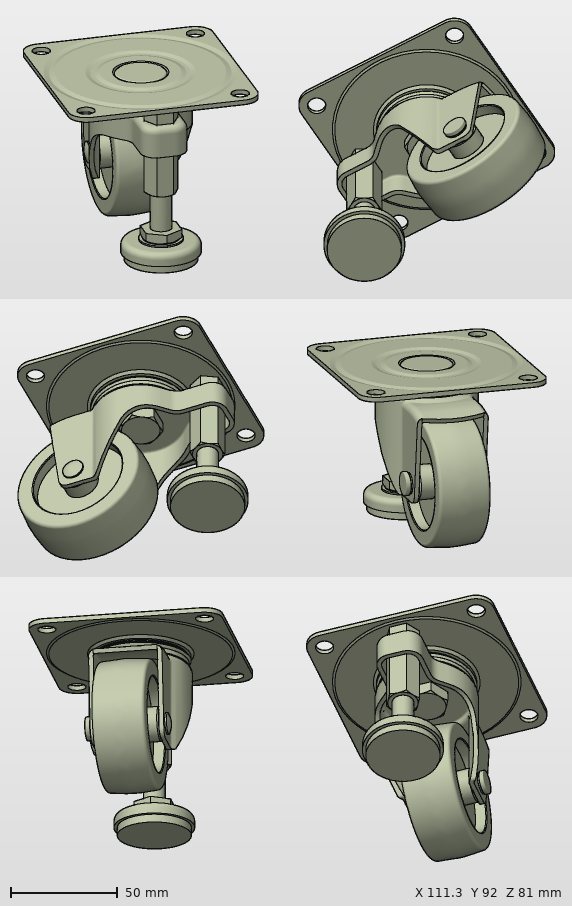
import cadquery as cq
import math


TOTAL_HEIGHT = 81.0
WHEEL_RADIUS = 31.6
WHEEL_X = -26.8
FOOT_X = 34.0

HEXAGON_HALF_ANGLE = math.radians(30)
NUT_CHAMFER_ANGLE = math.radians(30)
CORNERS_ON_X = 0
CORNERS_ON_Y = 30

PLATE_SIDE = 92.0
PLATE_THICKNESS = 2.3
PLATE_CORNER_RADIUS = 8.7
BOLT_PITCH = 75.0
BOLT_HOLE_DIAMETER = 8.5
GROOVE_DEPTH = 0.7
OUTER_GROOVE_RADII = (45.3, 42.9, 42.5, 40.1)
INNER_GROOVE_RADII = (25.8, 23.5, 21.5, 19.2)
PRESSED_DISC_RADIUS = 44.1
PRESSED_DISC_BOTTOM = 78.1
PLATE_HUB_RADIUS = 24.9
PLATE_HUB_BOTTOM = 76.7
PLATE_NECK_RADIUS = 22.0
PLATE_NECK_BOTTOM = 76.2

KINGPIN_RADIUS = 12.4
KINGPIN_EDGE = 0.8
KINGPIN_SHANK_RADIUS = 6.0
KINGPIN_NUT_FLATS = 18.0
KINGPIN_NUT_BOTTOM = 62.6

FORK_TOP = 71.0
FORK_WALL = 2.2
FORK_RADIUS = 24.2
FORK_EDGE_RADIUS = 3.3
FORK_BOTTOM = 22.9
ARM_BOTTOM = 56.2
ARM_HALF_WIDTH = 11.1
ARM_END_X = 45.3
ARM_CORNER_RADIUS = 7.5
ARM_BLEND_RADIUS = 6.8
ARM_BLEND_END_X = 25.8
LEG_OUTER_Y = 17.5
LEG_BEND_RADIUS = 2.5
LEG_FRONT_TOP_X = -39.6
LEG_FRONT_BOTTOM_X = -33.7
LEG_TOE_RADIUS = 4.5
LEG_BACK_X = -14.7
LEG_HEEL_RADIUS = 1.7
LEG_BACK_ANGLE = math.radians(60)
LEG_BACK_RADIUS = 16.3
CROWN_TOP = FORK_TOP - FORK_WALL
LIP_REACH_X = -41.9
LIP_REACH_Z = 66.3
LEG_BOX_REACH_X = LIP_REACH_X - FORK_WALL
LIP_TILT = 22
COLLAR_RADIUS = 22.7
COLLAR_TOP = 73.3
RACE_LIP_RADIUS = 23.6
RACE_LIP_HEIGHT = 74.7
RACE_TOP = 75.8

WHEEL_WIDTH = 25.0
WHEEL_HALF_WIDTH = WHEEL_WIDTH / 2
TREAD_HALF_WIDTH = 10.9
TREAD_EDGE_RADIUS = 30.8
RIM_FACE_RADIUS = 28.7
SHOULDER_BULGE = 0.5
RECESS_RADIUS = 23.0
RECESS_CHAMFER = 0.5
RECESS_DEPTH = 5.6
HUB_RADIUS = 8.2
HUB_HALF_WIDTH = 14.9
HUB_CHAMFER = 0.7

AXLE_RADIUS = 5.1
AXLE_COLLAR_Y = 18.3
AXLE_DOME_HEIGHT = 1.3
AXLE_HEAD_RADIUS = 5.7
AXLE_HEAD_END_Y = 20.6
AXLE_HEAD_FILLET = 0.3

SLEEVE_FLATS = 14.3
SLEEVE_BOTTOM = 34.3
STUD_RADIUS = 5.1
FOOT_NUT_FLATS = 17.5
FOOT_NUT_TOP = 15.8
FOOT_NUT_BOTTOM = 11.1
WASHER_RADIUS = 10.5
WASHER_TOP = 10.8
CAP_RADIUS = 18.9
CAP_TOP = 10.0
CAP_BOTTOM = 3.9
CAP_FILLET = 3.0
PAD_RADIUS = 17.4


def revolved(points):
    """Solid of revolution about Z from (radius, height) points."""
    return cq.Workplane("XZ").polyline(points).close().revolve(360, (0, 0, 0), (0, 1, 0))


def cylinder(radius, bottom, top):
    return cq.Workplane("XY").workplane(offset=bottom).circle(radius).extrude(top - bottom)


def hexagon(flats, bottom, top, turn):
    """Hexagonal bar, turned by `turn` degrees from having corners on the X direction."""
    corners = flats / math.cos(HEXAGON_HALF_ANGLE)
    bar = cq.Workplane("XY").workplane(offset=bottom).polygon(6, corners).extrude(top - bottom)
    return bar.rotate((0, 0, 0), (0, 0, 1), turn)


def hexagon_chamfered_below(flats, bottom, top, turn):
    """Hexagonal nut whose lower corners are turned off by a cone."""
    flat_radius = flats / 2
    corner_radius = flat_radius / math.cos(HEXAGON_HALF_ANGLE)
    rise = (corner_radius - flat_radius) * math.tan(NUT_CHAMFER_ANGLE)
    cone = revolved([
        (0, bottom),
        (flat_radius, bottom),
        (corner_radius, bottom + rise),
        (corner_radius, top),
        (0, top),
    ])
    return hexagon(flats, bottom, top, turn).intersect(cone)


def ring_groove(radii):
    outer, floor_outer, floor_inner, inner = radii
    floor = TOTAL_HEIGHT - GROOVE_DEPTH
    return revolved([
        (outer, TOTAL_HEIGHT),
        (floor_outer, floor),
        (floor_inner, floor),
        (inner, TOTAL_HEIGHT),
    ])


def make_plate():
    sheet_bottom = TOTAL_HEIGHT - PLATE_THICKNESS
    plate = (
        cq.Workplane("XY").workplane(offset=sheet_bottom)
        .rect(PLATE_SIDE, PLATE_SIDE).extrude(PLATE_THICKNESS)
        .edges("|Z").fillet(PLATE_CORNER_RADIUS)
    )
    pressed_drop = sheet_bottom - PRESSED_DISC_BOTTOM
    hub_drop = PRESSED_DISC_BOTTOM - PLATE_HUB_BOTTOM
    pressing = revolved([
        (0, sheet_bottom),
        (PRESSED_DISC_RADIUS, sheet_bottom),
        (PRESSED_DISC_RADIUS - 2 * pressed_drop, PRESSED_DISC_BOTTOM),
        (PLATE_HUB_RADIUS, PRESSED_DISC_BOTTOM),
        (PLATE_HUB_RADIUS - hub_drop, PLATE_HUB_BOTTOM),
        (PLATE_NECK_RADIUS, PLATE_HUB_BOTTOM),
        (PLATE_NECK_RADIUS, PLATE_NECK_BOTTOM),
        (0, PLATE_NECK_BOTTOM),
    ])
    plate = plate.union(pressing)
    for radii in (OUTER_GROOVE_RADII, INNER_GROOVE_RADII):
        plate = plate.cut(ring_groove(radii))
    bolt_holes = (
        cq.Workplane("XY").workplane(offset=sheet_bottom)
        .rect(BOLT_PITCH, BOLT_PITCH, forConstruction=True).vertices()
        .circle(BOLT_HOLE_DIAMETER / 2).extrude(PLATE_THICKNESS)
    )
    kingpin_seat = revolved([
        (0, PLATE_NECK_BOTTOM),
        (KINGPIN_RADIUS, PLATE_NECK_BOTTOM),
        (KINGPIN_RADIUS, TOTAL_HEIGHT - KINGPIN_EDGE),
        (KINGPIN_RADIUS + KINGPIN_EDGE, TOTAL_HEIGHT),
        (0, TOTAL_HEIGHT),
    ])
    return plate.cut(bolt_holes).cut(kingpin_seat)


def make_kingpin():
    head = cylinder(KINGPIN_RADIUS, RACE_TOP, TOTAL_HEIGHT).faces(">Z").edges().fillet(KINGPIN_EDGE)
    roof_underside = FORK_TOP - FORK_WALL
    shank = cylinder(KINGPIN_SHANK_RADIUS, KINGPIN_NUT_BOTTOM, RACE_TOP)
    nut = hexagon_chamfered_below(KINGPIN_NUT_FLATS, KINGPIN_NUT_BOTTOM, roof_underside, CORNERS_ON_Y)
    return head.union(shank).union(nut)


def swivel_block(inset, top):
    """Disc around the swivel axis flowing into the arm, `inset` inside the outer outline."""
    radius = FORK_RADIUS - inset
    half_width = ARM_HALF_WIDTH - inset
    blend = ARM_BLEND_RADIUS + inset
    blend_y = ARM_HALF_WIDTH + ARM_BLEND_RADIUS
    centre_distance = math.hypot(ARM_BLEND_END_X, blend_y)
    normal = math.atan2(blend_y, ARM_BLEND_END_X) + math.acos(
        (FORK_RADIUS + ARM_BLEND_RADIUS) / centre_distance
    )
    touch = (radius * math.cos(normal), radius * math.sin(normal))
    blend_start = (
        ARM_BLEND_END_X - blend * math.cos(normal),
        blend_y - blend * math.sin(normal),
    )
    middle = (normal + math.pi / 2) / 2
    blend_middle = (
        ARM_BLEND_END_X - blend * math.cos(middle),
        blend_y - blend * math.sin(middle),
    )
    block = (
        cq.Workplane("XY").workplane(offset=FORK_BOTTOM)
        .moveTo(*touch)
        .lineTo(*blend_start)
        .threePointArc(blend_middle, (ARM_BLEND_END_X, half_width))
        .lineTo(ARM_END_X - inset, half_width)
        .lineTo(ARM_END_X - inset, -half_width)
        .lineTo(ARM_BLEND_END_X, -half_width)
        .threePointArc((blend_middle[0], -blend_middle[1]), (blend_start[0], -blend_start[1]))
        .lineTo(touch[0], -touch[1])
        .threePointArc((-radius, 0), touch)
        .close()
        .extrude(top - FORK_BOTTOM)
    )
    return block.edges("|Z and >X").fillet(ARM_CORNER_RADIUS - inset)


def leg_block(inset):
    """Box over the wheel under a roof that runs level, then curves round with the wheel."""
    axle_z = WHEEL_RADIUS
    roof_z = CROWN_TOP - inset
    roof_radius = roof_z - axle_z
    half_width = LEG_OUTER_Y - inset
    roof_end_z = axle_z + math.sqrt(roof_radius**2 - (LEG_BOX_REACH_X - WHEEL_X) ** 2)
    middle_x = (LEG_BOX_REACH_X + WHEEL_X) / 2
    middle_z = axle_z + math.sqrt(roof_radius**2 - (middle_x - WHEEL_X) ** 2)
    return (
        cq.Workplane("XZ").workplane(offset=-half_width)
        .moveTo(0, FORK_BOTTOM)
        .lineTo(0, roof_z)
        .lineTo(WHEEL_X, roof_z)
        .threePointArc((middle_x, middle_z), (LEG_BOX_REACH_X, roof_end_z))
        .lineTo(LEG_BOX_REACH_X, FORK_BOTTOM)
        .close()
        .extrude(2 * half_width)
    )


def side_profile():
    """Side outline of the legs and the arm, as a plate spanning the full width of the fork."""
    rise = LEG_BACK_RADIUS * (1 - math.cos(LEG_BACK_ANGLE))
    arc_start_z = ARM_BOTTOM - rise
    arc_start_x = LEG_BACK_X + (arc_start_z - FORK_BOTTOM) / math.tan(LEG_BACK_ANGLE)
    arc_end_x = arc_start_x + LEG_BACK_RADIUS * math.sin(LEG_BACK_ANGLE)
    half_angle = LEG_BACK_ANGLE / 2
    arc_middle = (
        arc_end_x - LEG_BACK_RADIUS * math.sin(half_angle),
        ARM_BOTTOM - LEG_BACK_RADIUS * (1 - math.cos(half_angle)),
    )
    profile = (
        cq.Workplane("XZ").workplane(offset=-FORK_RADIUS)
        .moveTo(LEG_FRONT_BOTTOM_X, FORK_BOTTOM)
        .lineTo(LEG_BACK_X, FORK_BOTTOM)
        .lineTo(arc_start_x, arc_start_z)
        .threePointArc(arc_middle, (arc_end_x, ARM_BOTTOM))
        .lineTo(ARM_END_X, ARM_BOTTOM)
        .lineTo(ARM_END_X, FORK_TOP)
        .lineTo(LEG_FRONT_TOP_X, FORK_TOP)
        .close()
        .extrude(2 * FORK_RADIUS)
    )
    toe = cq.selectors.NearestToPointSelector((LEG_FRONT_BOTTOM_X, 0, FORK_BOTTOM))
    profile = profile.edges("|Y").edges(toe).fillet(LEG_TOE_RADIUS)
    heel = cq.selectors.NearestToPointSelector((LEG_BACK_X, 0, FORK_BOTTOM))
    return profile.edges("|Y").edges(heel).fillet(LEG_HEEL_RADIUS)


def roof_lip(outer_block):
    """Front edge of the roof, bulging forward between the legs and cut square to the roof."""
    half_width = LEG_OUTER_Y - FORK_WALL
    bulge = (
        cq.Workplane("XY").workplane(offset=ARM_BOTTOM)
        .moveTo(WHEEL_X, half_width)
        .lineTo(LEG_FRONT_TOP_X, half_width)
        .threePointArc((LIP_REACH_X, 0), (LEG_FRONT_TOP_X, -half_width))
        .lineTo(WHEEL_X, -half_width)
        .close()
        .extrude(TOTAL_HEIGHT - ARM_BOTTOM)
    )
    edge_middle = (LIP_REACH_X, 0, LIP_REACH_Z)
    edge_axis_end = (LIP_REACH_X, 1, LIP_REACH_Z)
    return outer_block.intersect(bulge.rotate(edge_middle, edge_axis_end, -LIP_TILT))


def fork_block(inset):
    """Swivel disc, arm and leg box as one rounded block, `inset` inside the outer surface.

    Returns the block and the leg box on its own.
    """
    edge_radius = FORK_EDGE_RADIUS - inset
    disc_and_arm = swivel_block(inset, FORK_TOP - inset).faces(">Z").edges().fillet(edge_radius)
    legs = leg_block(inset)
    roof_side_edges = cq.selectors.BoxSelector(
        (LEG_BOX_REACH_X, -LEG_OUTER_Y - FORK_WALL, ARM_BOTTOM),
        (-FORK_WALL, LEG_OUTER_Y + FORK_WALL, FORK_TOP),
    )
    legs = legs.edges(roof_side_edges).edges("not |Y").edges("not |Z").fillet(edge_radius)
    block = disc_and_arm.union(legs)
    seam_box = cq.selectors.BoxSelector(
        (-FORK_RADIUS, -LEG_OUTER_Y - FORK_WALL, FORK_BOTTOM),
        (-FORK_RADIUS / 2, LEG_OUTER_Y + FORK_WALL, FORK_TOP),
    )
    block = block.edges(seam_box).edges("not |X").fillet(LEG_BEND_RADIUS)
    return block, legs


def make_fork():
    outside, legs = fork_block(0)
    hollow, _ = fork_block(FORK_WALL)
    fork = outside.intersect(side_profile()).union(roof_lip(legs)).cut(hollow)

    race = revolved([
        (0, FORK_TOP - FORK_WALL),
        (FORK_RADIUS - FORK_EDGE_RADIUS, FORK_TOP - FORK_WALL),
        (COLLAR_RADIUS, FORK_TOP),
        (COLLAR_RADIUS, COLLAR_TOP),
        (RACE_LIP_RADIUS, RACE_LIP_HEIGHT),
        (PLATE_NECK_RADIUS, RACE_TOP),
        (0, RACE_TOP),
    ])
    kingpin_hole = cylinder(KINGPIN_SHANK_RADIUS, ARM_BOTTOM, RACE_TOP)
    sleeve_hole = hexagon(SLEEVE_FLATS, ARM_BOTTOM, FORK_TOP, CORNERS_ON_Y).translate((FOOT_X, 0, 0))
    axle_hole = (
        cq.Workplane("XZ").workplane(offset=-LEG_OUTER_Y)
        .center(WHEEL_X, WHEEL_RADIUS).circle(AXLE_RADIUS).extrude(2 * LEG_OUTER_Y)
    )
    return fork.union(race).cut(kingpin_hole).cut(sleeve_hole).cut(axle_hole)


def onto_axle_line(body):
    """Turn a body made around Z so that it lies along the axle, its +Z end towards +Y."""
    return body.rotate((0, 0, 0), (1, 0, 0), -90).translate((WHEEL_X, 0, WHEEL_RADIUS))


def make_wheel():
    recess_floor = WHEEL_HALF_WIDTH - RECESS_DEPTH
    shoulder_radius = (TREAD_EDGE_RADIUS + RIM_FACE_RADIUS) / 2 + SHOULDER_BULGE
    shoulder_y = (TREAD_HALF_WIDTH + WHEEL_HALF_WIDTH) / 2 + SHOULDER_BULGE
    wheel = (
        cq.Workplane("XZ")
        .moveTo(AXLE_RADIUS, -HUB_HALF_WIDTH)
        .lineTo(HUB_RADIUS - HUB_CHAMFER, -HUB_HALF_WIDTH)
        .lineTo(HUB_RADIUS, -HUB_HALF_WIDTH + HUB_CHAMFER)
        .lineTo(HUB_RADIUS, -recess_floor)
        .lineTo(RECESS_RADIUS - RECESS_CHAMFER, -recess_floor)
        .lineTo(RECESS_RADIUS - RECESS_CHAMFER, -WHEEL_HALF_WIDTH + RECESS_CHAMFER)
        .lineTo(RECESS_RADIUS, -WHEEL_HALF_WIDTH)
        .lineTo(RIM_FACE_RADIUS, -WHEEL_HALF_WIDTH)
        .threePointArc((shoulder_radius, -shoulder_y), (TREAD_EDGE_RADIUS, -TREAD_HALF_WIDTH))
        .threePointArc((WHEEL_RADIUS, 0), (TREAD_EDGE_RADIUS, TREAD_HALF_WIDTH))
        .threePointArc((shoulder_radius, shoulder_y), (RIM_FACE_RADIUS, WHEEL_HALF_WIDTH))
        .lineTo(RECESS_RADIUS, WHEEL_HALF_WIDTH)
        .lineTo(RECESS_RADIUS - RECESS_CHAMFER, WHEEL_HALF_WIDTH - RECESS_CHAMFER)
        .lineTo(RECESS_RADIUS - RECESS_CHAMFER, recess_floor)
        .lineTo(HUB_RADIUS, recess_floor)
        .lineTo(HUB_RADIUS, HUB_HALF_WIDTH - HUB_CHAMFER)
        .lineTo(HUB_RADIUS - HUB_CHAMFER, HUB_HALF_WIDTH)
        .lineTo(AXLE_RADIUS, HUB_HALF_WIDTH)
        .close()
        .revolve(360, (0, 0, 0), (0, 1, 0))
    )
    return onto_axle_line(wheel)


def make_axle():
    dome_tip = -AXLE_COLLAR_Y - AXLE_DOME_HEIGHT
    sphere_radius = (AXLE_RADIUS**2 + AXLE_DOME_HEIGHT**2) / (2 * AXLE_DOME_HEIGHT)
    dome_angle = math.asin(AXLE_RADIUS / sphere_radius) / 2
    dome_middle = (
        sphere_radius * math.sin(dome_angle),
        dome_tip + sphere_radius * (1 - math.cos(dome_angle)),
    )
    pin = (
        cq.Workplane("XZ")
        .moveTo(0, dome_tip)
        .threePointArc(dome_middle, (AXLE_RADIUS, -AXLE_COLLAR_Y))
        .lineTo(AXLE_RADIUS, AXLE_COLLAR_Y)
        .lineTo(0, AXLE_COLLAR_Y)
        .close()
        .revolve(360, (0, 0, 0), (0, 1, 0))
    )
    head = cylinder(AXLE_HEAD_RADIUS, AXLE_COLLAR_Y, AXLE_HEAD_END_Y).edges().fillet(AXLE_HEAD_FILLET)
    return onto_axle_line(pin.union(head))


def make_levelling_foot():
    sleeve = hexagon_chamfered_below(SLEEVE_FLATS, SLEEVE_BOTTOM, PRESSED_DISC_BOTTOM, CORNERS_ON_Y)
    stud = cylinder(STUD_RADIUS, CAP_TOP, SLEEVE_BOTTOM)
    nut = hexagon_chamfered_below(FOOT_NUT_FLATS, FOOT_NUT_BOTTOM, FOOT_NUT_TOP, CORNERS_ON_X)
    washer = cylinder(WASHER_RADIUS, CAP_TOP, WASHER_TOP)
    neck = cylinder(FOOT_NUT_FLATS / 2, WASHER_TOP, FOOT_NUT_BOTTOM)
    cap = cylinder(CAP_RADIUS, CAP_BOTTOM, CAP_TOP).faces(">Z").edges().fillet(CAP_FILLET)
    pad = cylinder(PAD_RADIUS, 0, CAP_BOTTOM)
    foot = sleeve
    for piece in (stud, nut, neck, washer, cap, pad):
        foot = foot.union(piece)
    return foot.translate((FOOT_X, 0, 0))


plate = make_plate()
kingpin = make_kingpin()
fork = make_fork()
wheel = make_wheel()
axle = make_axle()
levelling_foot = make_levelling_foot()

result = cq.Compound.makeCompound([
    plate.solids().val(),
    kingpin.solids().val(),
    fork.solids().val(),
    wheel.solids().val(),
    axle.solids().val(),
    levelling_foot.solids().val(),
])